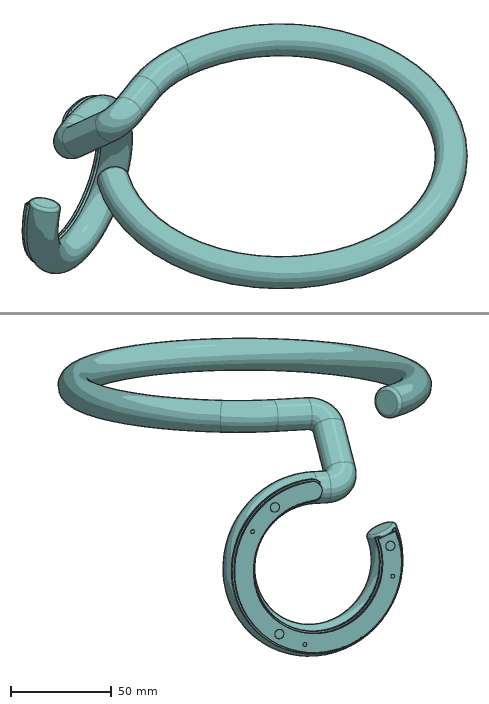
import cadquery as cq
import math

tube_radius = 8.0
tip_fillet = 1.7
elbow_radius = 9.0

base_radius = 38.6
base_axis_x = 8.6
base_tip_angle = 155.5

arm_rise = 31.5
arm_y = -16.0

ring_radius = 85.0
ring_centre_x = 122.7
ring_z = base_radius + arm_rise
ring_tip_angle = 219.0
ring_lead_x = base_axis_x + arm_rise
ring_lead_end_y = 10.8

foot_half_width = 5.72
foot_start_angle = 86.0
foot_tip_angle = 157.3
plate_inset = 0.9
plate_thickness = 1.5

screw_radius = 2.4
screw_circle_radius = base_radius
screw_angles = (54.3, 167.2, 301.6)
pin_radius = 0.97
pin_circle_radius = 39.5
pin_angles = (30.0, 190.0, 280.0)


def polar(radius, angle):
    """Point at an angle in degrees on a circle about the origin."""
    return radius * math.cos(math.radians(angle)), radius * math.sin(math.radians(angle))


def base_point(angle):
    """Point on the centre line of the base ring."""
    return cq.Vector(base_axis_x, *polar(base_radius, angle))


def ring_point(angle):
    """Point on the centre line of the holder ring."""
    x, y = polar(ring_radius, angle)
    return cq.Vector(ring_centre_x + x, y, ring_z)


def elbow(corner, direction_in, direction_out):
    """Quarter bend that rounds a square corner of the centre line."""
    start = corner - direction_in * elbow_radius
    end = corner + direction_out * elbow_radius
    return cq.Edge.makeTangentArc(start, direction_in, end)


def centre_line():
    """Centre line of the frame, from the tip of the base ring to the tip of the holder ring."""
    top_of_base = base_point(90)
    base_arc = cq.Edge.makeThreePointArc(
        base_point(base_tip_angle),
        base_point((base_tip_angle + 360 + 90) / 2),
        top_of_base,
    )

    forward = cq.Vector(0, -1, 0)
    backward = cq.Vector(0, 1, 0)
    up_arm = cq.Vector(1, 0, 1).normalized()
    lower_elbow = elbow(cq.Vector(base_axis_x, arm_y, base_radius), forward, up_arm)
    upper_elbow = elbow(cq.Vector(ring_lead_x, arm_y, ring_z), up_arm, backward)

    lead_end = cq.Vector(ring_lead_x, ring_lead_end_y, ring_z)
    lead_offset = ring_centre_x - ring_lead_x
    shortfall = ring_radius - lead_offset
    blend_radius = (ring_radius + lead_offset - ring_lead_end_y**2 / shortfall) / 2
    blend_angle = 180 - math.degrees(math.atan2(ring_lead_end_y, lead_offset - blend_radius))
    blend_end = ring_point(blend_angle)
    blend_arc = cq.Edge.makeTangentArc(lead_end, backward, blend_end)
    ring_arc = cq.Edge.makeThreePointArc(
        blend_end,
        ring_point((blend_angle + ring_tip_angle - 360) / 2),
        ring_point(ring_tip_angle),
    )

    return cq.Wire.assembleEdges([
        base_arc,
        cq.Edge.makeLine(top_of_base, lower_elbow.startPoint()),
        lower_elbow,
        cq.Edge.makeLine(lower_elbow.endPoint(), upper_elbow.startPoint()),
        upper_elbow,
        cq.Edge.makeLine(upper_elbow.endPoint(), lead_end),
        blend_arc,
        ring_arc,
    ])


def make_tube():
    """Round bar swept along the centre line, with the edges of both tips rounded."""
    path = centre_line()
    start_plane = cq.Plane(origin=path.startPoint(), normal=path.tangentAt(0))
    bar = cq.Workplane(start_plane).circle(tube_radius).sweep(cq.Workplane(path))
    return bar.faces("%PLANE").edges().fillet(tip_fillet)


def make_band(inset, back_x, front_x):
    """Band along the base ring between two X planes, round at its start and square at its tip."""
    half_width = foot_half_width - inset
    outer = base_radius + half_width
    inner = base_radius - half_width
    tip_angle = foot_tip_angle + math.degrees(inset / base_radius)
    middle_angle = (tip_angle + 360 + foot_start_angle) / 2
    start_y, start_z = polar(base_radius, foot_start_angle)
    round_y, round_z = polar(half_width, foot_start_angle + 90)
    return (
        cq.Workplane("YZ", origin=(back_x, 0, 0))
        .moveTo(*polar(outer, tip_angle))
        .threePointArc(polar(outer, middle_angle), polar(outer, foot_start_angle))
        .threePointArc((start_y + round_y, start_z + round_z), polar(inner, foot_start_angle))
        .threePointArc(polar(inner, middle_angle), polar(inner, tip_angle))
        .close()
        .extrude(front_x - back_x)
    )


def make_plugs(circle_radius, angles, radius):
    """Cylinders through the plate, flush with both of its faces."""
    return [
        cq.Workplane("YZ").center(*polar(circle_radius, angle)).circle(radius).extrude(plate_thickness)
        for angle in angles
    ]


frame = make_tube().union(make_band(0, plate_thickness, base_axis_x))

screws = make_plugs(screw_circle_radius, screw_angles, screw_radius)
pins = make_plugs(pin_circle_radius, pin_angles, pin_radius)

plate = make_band(plate_inset, 0, plate_thickness)
for plug in screws + pins:
    plate = plate.cut(plug)

bodies = [frame, plate] + screws + pins
result = cq.Compound.makeCompound([body.val() for body in bodies])